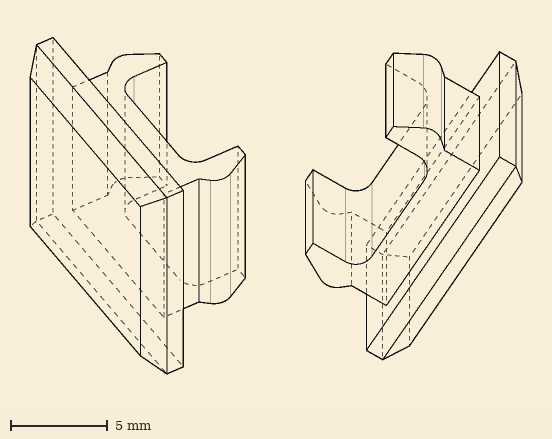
import cadquery as cq

plate_side = 13.0
plate_thickness = 2.0
bevel = 1.0

stem_side = 9.09
stem_end = 4.12

arm_end = 7.1
arm_gap = 7.1
arm_tip_width = 0.74
barb_corner_x = 5.41
barb_corner_y = 5.11
barb_radius = 1.0
root_radius = 1.0


def block(side, y_start, y_end):
    """Square block centred on the Y axis between two depths."""
    length = y_end - y_start
    return cq.Workplane("XY").box(side, length, side).translate((0, y_start + length / 2, 0))


def snap_arm():
    """Right-hand arm with a rounded outer barb and a concave inner root."""
    inner_x = arm_gap / 2
    profile = (
        cq.Workplane("XY")
        .workplane(offset=-stem_side / 2)
        .moveTo(inner_x - root_radius, stem_end)
        .lineTo(stem_side / 2, stem_end)
        .lineTo(barb_corner_x, barb_corner_y)
        .lineTo(inner_x + arm_tip_width, arm_end)
        .lineTo(inner_x, arm_end)
        .lineTo(inner_x, stem_end + root_radius)
        .radiusArc((inner_x - root_radius, stem_end), root_radius)
        .close()
    )
    barb_edge = cq.selectors.NearestToPointSelector((barb_corner_x, barb_corner_y, 0))
    return profile.extrude(stem_side).edges(barb_edge).fillet(barb_radius)


plate = block(plate_side, 0, plate_thickness).faces("<Y").edges().chamfer(bevel)
stem = block(stem_side, plate_thickness, stem_end)
right_arm = snap_arm()
left_arm = right_arm.mirror("YZ")

result = plate.union(stem).union(right_arm).union(left_arm)